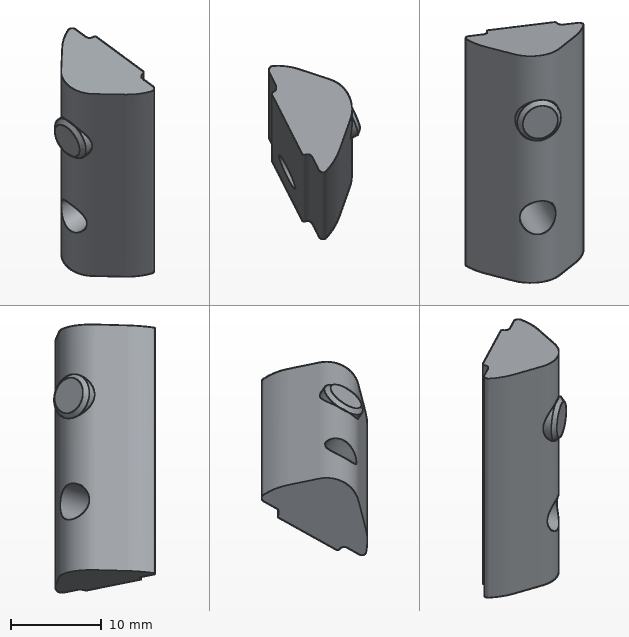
import cadquery as cq
import math


length = 28.0
nose_depth = 7.57
nose_radius = 3.6
side_radius = 7.21
flank_angle = math.radians(45)

ridge_half_width = 4.0
ridge_corner_radius = 0.25
ridge_root_radius = 0.6
wing_tip_radius = 0.5
shoulder_depth = ridge_corner_radius + ridge_root_radius

hole_diameter = 4.1
hole_height = 8.0

pin_diameter = 5.0
pin_length = 5.0
pin_chamfer = 0.5
pin_tip_depth = 8.0
pin_height = 20.0


def point_on_arc(center, radius, angle):
    """Point of a circle; the angle runs from +X toward +Y."""
    return (center[0] + radius * math.cos(angle), center[1] + radius * math.sin(angle))


def mirrored(point):
    return (-point[0], point[1])


def nut_profile():
    """Closed section, symmetric about X = 0, traced from the back face clockwise."""
    normal = -flank_angle

    nose_center = (0, nose_radius - nose_depth)
    side_center_shift = (side_radius - nose_radius) / math.cos(flank_angle)
    side_center = (0, nose_center[1] + side_center_shift)
    flank_top = point_on_arc(side_center, side_radius, normal)
    flank_bottom = point_on_arc(nose_center, nose_radius, normal)

    tip_y = -shoulder_depth - wing_tip_radius
    tip_angle = math.asin((tip_y - side_center[1]) / (side_radius - wing_tip_radius))
    tip_center = point_on_arc(side_center, side_radius - wing_tip_radius, tip_angle)
    tip_top = (tip_center[0], -shoulder_depth)
    tip_mid = point_on_arc(tip_center, wing_tip_radius, (math.pi / 2 + tip_angle) / 2)
    tip_end = point_on_arc(side_center, side_radius, tip_angle)
    side_mid = point_on_arc(side_center, side_radius, (tip_angle + normal) / 2)

    corner_center = (ridge_half_width - ridge_corner_radius, -ridge_corner_radius)
    corner_top = (corner_center[0], 0)
    corner_mid = point_on_arc(corner_center, ridge_corner_radius, math.radians(45))
    corner_end = (ridge_half_width, -ridge_corner_radius)
    root_center = (ridge_half_width + ridge_root_radius, -ridge_corner_radius)
    root_mid = point_on_arc(root_center, ridge_root_radius, math.radians(225))
    root_end = (root_center[0], -shoulder_depth)

    return (
        cq.Workplane("XY")
        .moveTo(*mirrored(corner_top))
        .lineTo(*corner_top)
        .threePointArc(corner_mid, corner_end)
        .threePointArc(root_mid, root_end)
        .lineTo(*tip_top)
        .threePointArc(tip_mid, tip_end)
        .threePointArc(side_mid, flank_top)
        .lineTo(*flank_bottom)
        .threePointArc((0, -nose_depth), mirrored(flank_bottom))
        .lineTo(*mirrored(flank_top))
        .threePointArc(mirrored(side_mid), mirrored(tip_end))
        .threePointArc(mirrored(tip_mid), mirrored(tip_top))
        .lineTo(*mirrored(root_end))
        .threePointArc(mirrored(root_mid), mirrored(corner_end))
        .threePointArc(mirrored(corner_mid), mirrored(corner_top))
        .close()
    )


def cross_cylinder(diameter, height, front_depth, cylinder_length):
    """Cylinder along Y that starts at front_depth and runs back toward +Y."""
    return (
        cq.Workplane("XZ", origin=(0, -front_depth, height))
        .circle(diameter / 2)
        .extrude(-cylinder_length)
    )


def make_nut():
    hole = cross_cylinder(hole_diameter, hole_height, nose_depth, nose_depth)
    pin_seat = cross_cylinder(pin_diameter, pin_height, pin_tip_depth, pin_length)
    return nut_profile().extrude(length).cut(hole).cut(pin_seat)


def make_pin():
    pin = cross_cylinder(pin_diameter, pin_height, pin_tip_depth, pin_length)
    return pin.faces("<Y").chamfer(pin_chamfer)


nut = make_nut()
pin = make_pin()

result = cq.Compound.makeCompound([nut.val(), pin.val()])